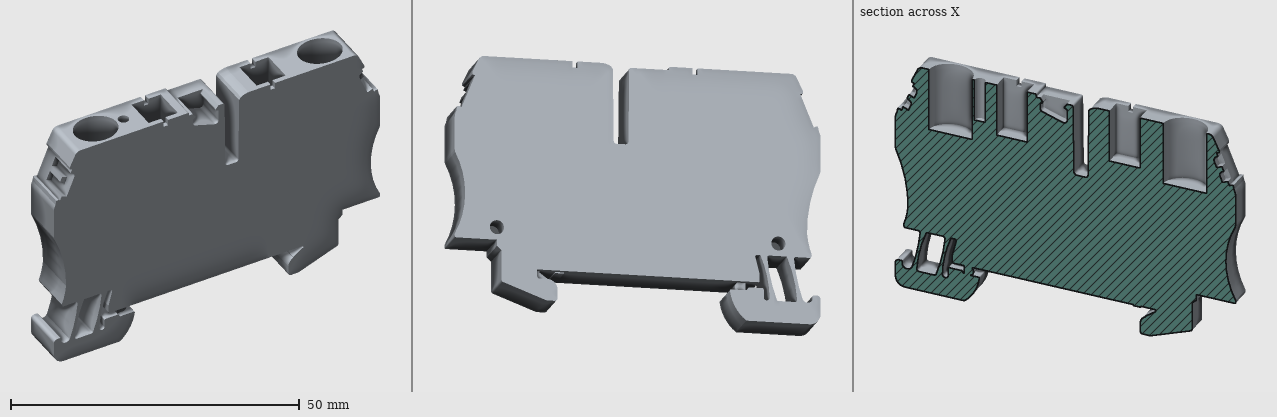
import cadquery as cq
import math


thickness = 8.1
length = 65.0
height = 44.7
half_length = length / 2
mid_x = thickness / 2

rail_face_z = 7.0
shoulder_z = 11.9
shelf_z = 44.1

slope_top = (28.9, 41.15)
slope_bottom = (31.3, 35.3)
side_bottom_z = 27.6
waist_top_y = 32.42
waist_top_z = 27.2

slot_bottom_z = 30.35
slot_bottom_round = 0.5

notch_width = 0.9
notch_depth = 1.15
notch_positions = (11.1, -10.2)

wire_hole_size = (7.0, 8.2)
wire_hole_depth = 12.0
wire_hole_positions = (22.8, -21.9)
clamp_pocket_size = (6.0, 5.8)
clamp_pocket_x = 4.18
clamp_pocket_depth = 10.0
clamp_pocket_positions = (11.3, -10.2)
test_hole_diameter = 2.0
test_hole_y = -16.35
test_hole_depth = 8.0

pin_hole_diameter = 2.5
pin_hole_depth = 4.0
pin_hole_y = 25.0
pin_hole_z = 14.15

marker_wall = 2.75
tongue_end_x = 6.35
recess_depth = 1.1
recess_top_z = 40.5
tongue_top_z = 38.75
tongue_bottom_z = 37.8
recess_bottom_z = 36.05
cove_radius = 0.75

hook_step_x = 1.0
rib_inset = 1.0
foot_top_z = 5.45
foot_gap_bottom_z = 3.85
joint_overlap = 0.3
leg_root_round = 0.35


def rounded_wire(points, x=0.0):
    """Closed YZ outline from (y, z), (y, z, corner radius) or (y, z, (via y, via z)).

    A corner radius rounds the corner between two straight sides.
    A via point makes the side arriving at the point an arc through it.
    """
    count = len(points)
    entries = []
    exits = []
    middles = []
    for index, point in enumerate(points):
        corner = cq.Vector(point[0], point[1])
        radius = point[2] if len(point) > 2 and not isinstance(point[2], tuple) else 0
        if not radius:
            entries.append(corner)
            exits.append(corner)
            middles.append(None)
            continue
        before = cq.Vector(*points[index - 1][:2])
        after = cq.Vector(*points[(index + 1) % count][:2])
        to_before = (before - corner).normalized()
        to_after = (after - corner).normalized()
        half_angle = to_before.getAngle(to_after) / 2
        setback = radius / math.tan(half_angle)
        bisector = (to_before + to_after).normalized()
        entries.append(corner + to_before * setback)
        exits.append(corner + to_after * setback)
        middles.append(corner + bisector * (radius / math.sin(half_angle) - radius))

    path = cq.Workplane("YZ", origin=(x, 0, 0)).moveTo(exits[0].x, exits[0].y)
    for index in list(range(1, count)) + [0]:
        point = points[index]
        entry = entries[index]
        if len(point) > 2 and isinstance(point[2], tuple):
            path = path.threePointArc(point[2], (entry.x, entry.y))
        else:
            path = path.lineTo(entry.x, entry.y)
        if middles[index] is not None:
            middle = middles[index]
            leave = exits[index]
            path = path.threePointArc((middle.x, middle.y), (leave.x, leave.y))
    return path.close()


def plate(points, start_x=0.0, end_x=thickness):
    """Solid with a YZ outline, between two X positions."""
    return rounded_wire(points, start_x).extrude(end_x - start_x)


def end_outline(side):
    """Upper end of the housing, from the top face to the foot of the vertical side.

    side is +1 for the +Y end and -1 for the -Y end.
    """
    half = [
        (27.95, height, 1.1),
        (29.35, 41.75),
        (29.35, 41.3),
        slope_top,
        slope_bottom,
        (31.6, 35.5),
        (32.05, 35.5),
        (32.2, 34.65),
        (half_length, 33.95, 2.2),
        (half_length, side_bottom_z),
    ]
    return [(side * point[0],) + point[1:] for point in half]


def make_housing():
    waist_seam_z = 16.2
    outline = [
        (6.3, height),
        (4.75, 44.2, (5.6, 44.57)),
        (4.4, 43.7),
        (4.25, slot_bottom_z, slot_bottom_round),
        (1.65, slot_bottom_z, slot_bottom_round),
        (1.5, shelf_z, 0.4),
        (-5.55, shelf_z),
        (-5.55, height, 0.3),
    ]
    outline += end_outline(-1)
    outline += [
        (-waist_top_y, waist_top_z),
        (-30.1, waist_seam_z, (-30.6, 21.6)),
        (-30.95, 12.4, (-30.4, 14.3)),
        (-30.75, shoulder_z),
        (-20.8, shoulder_z, 0.3),
        (-21.65, 8.6),
        (-21.65, rail_face_z, 0.25),
        (17.85, rail_face_z),
        (17.85, 5.4, 0.4),
        (16.4, 5.4),
        (14.2, 3.7, (14.8, 4.9)),
        (14.2, 1.55, 0.6),
        (16.2, 1.55, 1.0),
        (24.2, 4.5, 0.5),
        (24.2, 10.1),
        (25.0, 10.8),
        (25.0, shoulder_z),
        (half_length, shoulder_z, 0.3),
        (half_length, 12.6),
        (waist_top_y, waist_top_z, (30.65, 20.0)),
    ]
    outline += reversed(end_outline(1))
    return plate(outline)


def make_hook_lip():
    """Fills the open corner of the hook behind its thin front layer."""
    outline = [
        (17.2, rail_face_z + joint_overlap),
        (17.2, 6.7),
        (15.2, 5.3),
        (15.2, 4.5),
        (18.0, 4.5),
        (18.0, rail_face_z + joint_overlap),
    ]
    return plate(outline, hook_step_x)


def make_underside_ribs():
    """Shallow pad on the rail face and the rounded stop above the foot."""
    pad_width = 1.6
    pad_height = 0.2
    pad_y = 13.65
    pad = cq.Workplane("XY").box(thickness - 2 * rib_inset, pad_width, 2 * pad_height)
    pad = pad.translate((mid_x, pad_y, rail_face_z))
    stop = plate(
        [
            (-17.9, rail_face_z + joint_overlap),
            (-17.9, rail_face_z),
            (-18.0, foot_top_z, (-17.5, 6.3)),
            (-18.0, foot_top_z - joint_overlap),
            (-19.35, foot_top_z - joint_overlap),
            (-19.35, rail_face_z + joint_overlap),
        ],
        rib_inset,
        thickness - rib_inset,
    )
    return pad.union(stop)


def make_foot():
    outline = [
        (-16.4, foot_top_z, 0.2),
        (-19.35, foot_top_z),
        (-19.75, 6.0),
        (-22.4, 6.0, 0.25),
        (-22.4, 4.3),
        (-23.45, 4.3, (-22.95, foot_gap_bottom_z)),
        (-23.45, foot_gap_bottom_z),
        (-29.25, foot_gap_bottom_z),
        (-29.4, 4.3),
        (-31.1, 4.5, (-30.3, foot_gap_bottom_z)),
        (-31.1, 5.25, 0.2),
        (-half_length, 5.25, 0.7),
        (-half_length, 0, 1.95),
        (-19.3, 0),
        (-16.4, 5.1, (-17.35, 2.3)),
    ]
    return plate(outline)


def make_leg(inner_edge, outer_edge):
    """Curved spring leg; each edge is (Y at the top, Y half way down, Y at the foot)."""
    middle_z = (shoulder_z + foot_gap_bottom_z) / 2
    top_z = shoulder_z + joint_overlap
    bottom_z = foot_gap_bottom_z - joint_overlap
    outline = [
        (inner_edge[0], top_z),
        (inner_edge[0], shoulder_z),
        (inner_edge[2], foot_gap_bottom_z, (inner_edge[1], middle_z)),
        (inner_edge[2], bottom_z),
        (outer_edge[2], bottom_z),
        (outer_edge[2], foot_gap_bottom_z),
        (outer_edge[0], shoulder_z, (outer_edge[1], middle_z)),
        (outer_edge[0], top_z),
    ]
    return plate(outline)


def make_spring_foot():
    inner_leg = make_leg((-21.8, -23.05, -23.45), (-23.0, -23.6, -24.8))
    outer_leg = make_leg((-26.5, -27.8, -28.35), (-27.75, -28.35, -29.5))
    return make_foot().union(inner_leg).union(outer_leg)


def round_leg_roots(body):
    """Rounds the corners of the window between the two legs and the outer leg's root."""
    roots = [
        (-23.0, shoulder_z),
        (-27.75, shoulder_z),
        (-24.8, foot_gap_bottom_z),
        (-28.35, foot_gap_bottom_z),
    ]
    for y, z in roots:
        edge = body.edges("|X").edges(cq.selectors.NearestToPointSelector((mid_x, y, z)))
        body = edge.fillet(leg_root_round)
    return body


def cut_coding_notches(body):
    for y in notch_positions:
        notch = cq.Workplane("XY").box(thickness, notch_width, 2 * notch_depth)
        body = body.cut(notch.translate((mid_x, y, height)))
    return body


def cut_top_openings(body):
    top = cq.Workplane("XY", origin=(0, 0, height))
    for y in wire_hole_positions:
        oval = top.center(mid_x, y).ellipse(wire_hole_size[0] / 2, wire_hole_size[1] / 2)
        body = body.cut(oval.extrude(-wire_hole_depth))
    for y in clamp_pocket_positions:
        pocket = top.center(clamp_pocket_x, y).rect(*clamp_pocket_size)
        body = body.cut(pocket.extrude(-clamp_pocket_depth))
    test_hole = top.center(mid_x, test_hole_y).circle(test_hole_diameter / 2)
    return body.cut(test_hole.extrude(-test_hole_depth))


def cut_pin_holes(body):
    for y in (pin_hole_y, -pin_hole_y):
        hole = cq.Workplane("YZ").center(y, pin_hole_z).circle(pin_hole_diameter / 2)
        body = body.cut(hole.extrude(pin_hole_depth))
    return body


def slope_recess(side, upper_z, lower_z, start_x, end_x):
    """Cutter square to a sloped end face, with a cove under its upper edge."""
    run = slope_bottom[0] - slope_top[0]
    drop = slope_top[1] - slope_bottom[1]
    slope_length = math.hypot(run, drop)
    inward = (-drop / slope_length, -run / slope_length)

    def at(z, depth):
        y = slope_top[0] + (slope_top[1] - z) * run / drop
        return (side * (y + inward[0] * depth), z + inward[1] * depth)

    outside = -recess_depth
    outline = [
        at(upper_z, outside),
        at(upper_z, recess_depth) + (cove_radius,),
        at(lower_z, recess_depth),
        at(lower_z, outside),
    ]
    return plate(outline, start_x, end_x)


def cut_slope_recesses(body):
    """Marker recess in both sloped ends, leaving a tongue that stops short of +X."""
    for side in (1, -1):
        above = slope_recess(side, recess_top_z, tongue_top_z, marker_wall, thickness)
        below = slope_recess(side, tongue_bottom_z, recess_bottom_z, marker_wall, tongue_end_x)
        beside = slope_recess(side, recess_top_z, recess_bottom_z, tongue_end_x, thickness)
        body = body.cut(above).cut(below).cut(beside)
    return body


def cut_centre_recess(body):
    """Marker pocket in the shelf, with snap lips at the mouth and a sloping floor."""
    outline = [
        (0.3, height),
        (0.3, shelf_z),
        (-0.25, 43.4),
        (-0.25, 43.2),
        (0.3, 42.9),
        (0.3, 40.0, 0.6),
        (-4.8, 41.6, 0.6),
        (-4.8, 42.9),
        (-4.3, 43.2),
        (-4.3, 43.4),
        (-4.8, shelf_z),
        (-4.8, height),
    ]
    return body.cut(plate(outline, marker_wall))


result = make_housing().union(make_hook_lip()).union(make_spring_foot())
result = round_leg_roots(result)
result = result.union(make_underside_ribs())
result = cut_coding_notches(result)
result = cut_top_openings(result)
result = cut_pin_holes(result)
result = cut_slope_recesses(result)
result = cut_centre_recess(result)